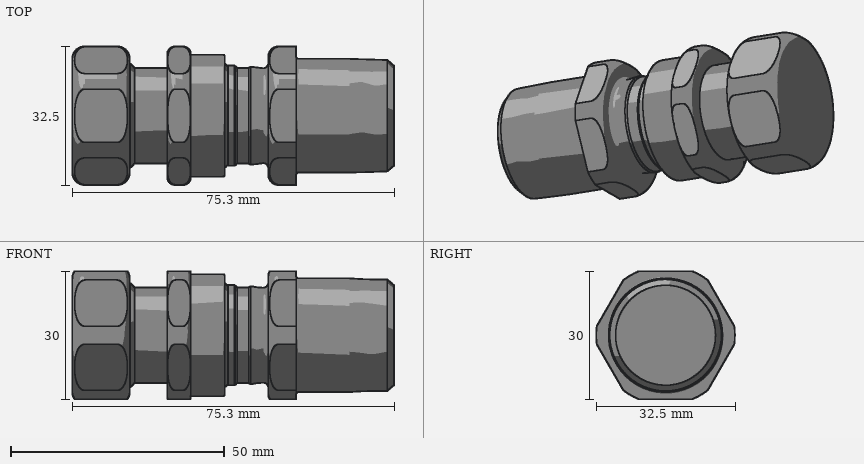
import cadquery as cq
import math


across_flats = 30.0
corner_radius = 32.5 / 2
across_corners = across_flats / math.cos(math.pi / 6)

cap_length = 13.5
cap_fillet = 3.0

neck_radius = 22.4 / 2

lip_radius = 24.4 / 2
cap_lip_band = 0.15
cap_lip_cone = 0.75
cap_lip_nose = 0.2
body_lip_cone = 0.6

body_hex_start = 22.2
body_hex_end = 27.8
body_radius = 28.6 / 2
body_end = 35.75
body_end_fillet = 0.5
body_hex_fillet = corner_radius - body_radius

ring_start = body_end + body_lip_cone
ring_end = 38.15
ring_radius = 23.5 / 2
ring_edge_radius = 23.26 / 2
ring_chamfer = 0.2

groove_start = 38.6
groove_end = 41.3
groove_slope = 0.45
taper_radius = 23.0 / 2
taper_end_radius = 22.26 / 2
neck_fillet = 1.15

adapter_hex_start = 45.85
adapter_hex_end = 52.4
adapter_hex_fillet = 2.5
pipe_radius = 26.67 / 2
pipe_fillet = 0.5
pipe_taper_start = 64.85
pipe_taper_per_length = 1 / 32
pipe_chamfer_start = 73.7
pipe_chamfer_end_radius = 11.7
total_length = 75.28
pipe_taper_end_radius = pipe_radius - (pipe_chamfer_start - pipe_taper_start) * pipe_taper_per_length


def revolve_about_x(outline):
    """Turn a closed outline of (x, radius) points about the X axis."""
    return outline.close().revolve(360, (0, 0, 0), (1, 0, 0))


def cylinder(start, end, radius):
    return cq.Workplane("YZ").workplane(offset=start).circle(radius).extrude(end - start)


def hexagon_nut(start, end, start_fillet, end_fillet=0):
    """Hexagon with flats facing +Z and -Z and its corners turned round."""
    blank = cylinder(start, end, corner_radius).faces("<X").edges().fillet(start_fillet)
    if end_fillet:
        blank = blank.faces(">X").edges().fillet(end_fillet)
    flats = cq.Workplane("YZ").workplane(offset=start).polygon(6, across_corners)
    return blank.intersect(flats.extrude(end - start))


def make_cap_nut():
    return hexagon_nut(0, cap_length, cap_fillet, cap_fillet)


def make_cap_lip_seal():
    cone_start = cap_length + cap_lip_band
    cone_end = cone_start + cap_lip_cone
    return revolve_about_x(
        cq.Workplane("XY")
        .moveTo(cap_length, neck_radius)
        .lineTo(cap_length, lip_radius)
        .lineTo(cone_start, lip_radius)
        .lineTo(cone_end, lip_radius - cap_lip_cone)
        .lineTo(cone_end + cap_lip_nose, neck_radius)
    )


def make_gland_body():
    neck = cylinder(cap_length, body_hex_start, neck_radius)
    nut = hexagon_nut(body_hex_start, body_hex_end, body_hex_fillet, body_hex_fillet)
    barrel = cylinder(body_hex_end, body_end, body_radius)
    barrel = barrel.faces(">X").edges().fillet(body_end_fillet)
    return neck.union(nut).union(barrel)


def make_body_lip_seal():
    return revolve_about_x(
        cq.Workplane("XY")
        .moveTo(body_end, neck_radius)
        .lineTo(body_end, lip_radius)
        .lineTo(ring_start, lip_radius - body_lip_cone)
        .lineTo(ring_start, neck_radius)
    )


def make_sealing_ring():
    return revolve_about_x(
        cq.Workplane("XY")
        .moveTo(ring_start, neck_radius)
        .lineTo(ring_start, ring_edge_radius)
        .lineTo(ring_start + ring_chamfer, ring_radius)
        .lineTo(ring_end - ring_chamfer, ring_radius)
        .lineTo(ring_end, ring_edge_radius)
        .lineTo(ring_end, neck_radius)
    )


def make_adapter():
    neck = revolve_about_x(
        cq.Workplane("XY")
        .moveTo(body_end, 0)
        .lineTo(body_end, neck_radius)
        .lineTo(ring_end, neck_radius)
        .lineTo(ring_end, ring_edge_radius)
        .lineTo(groove_start, neck_radius)
        .lineTo(groove_end, neck_radius)
        .lineTo(groove_end + groove_slope, taper_radius)
        .lineTo(adapter_hex_start - neck_fillet, taper_end_radius)
        .radiusArc((adapter_hex_start, taper_end_radius + neck_fillet), -neck_fillet)
        .lineTo(adapter_hex_start, 0)
    )
    nut = hexagon_nut(adapter_hex_start, adapter_hex_end, adapter_hex_fillet)
    pipe = revolve_about_x(
        cq.Workplane("XY")
        .moveTo(adapter_hex_end, 0)
        .lineTo(adapter_hex_end, pipe_radius + pipe_fillet)
        .radiusArc((adapter_hex_end + pipe_fillet, pipe_radius), -pipe_fillet)
        .lineTo(pipe_taper_start, pipe_radius)
        .lineTo(pipe_chamfer_start, pipe_taper_end_radius)
        .lineTo(total_length, pipe_chamfer_end_radius)
        .lineTo(total_length, 0)
    )
    return neck.union(nut).union(pipe)


cap_nut = make_cap_nut()
cap_lip_seal = make_cap_lip_seal()
gland_body = make_gland_body()
body_lip_seal = make_body_lip_seal()
sealing_ring = make_sealing_ring()
adapter = make_adapter()

result = cq.Compound.makeCompound([
    cap_nut.solids().val(),
    cap_lip_seal.solids().val(),
    gland_body.solids().val(),
    body_lip_seal.solids().val(),
    sealing_ring.solids().val(),
    adapter.solids().val(),
])